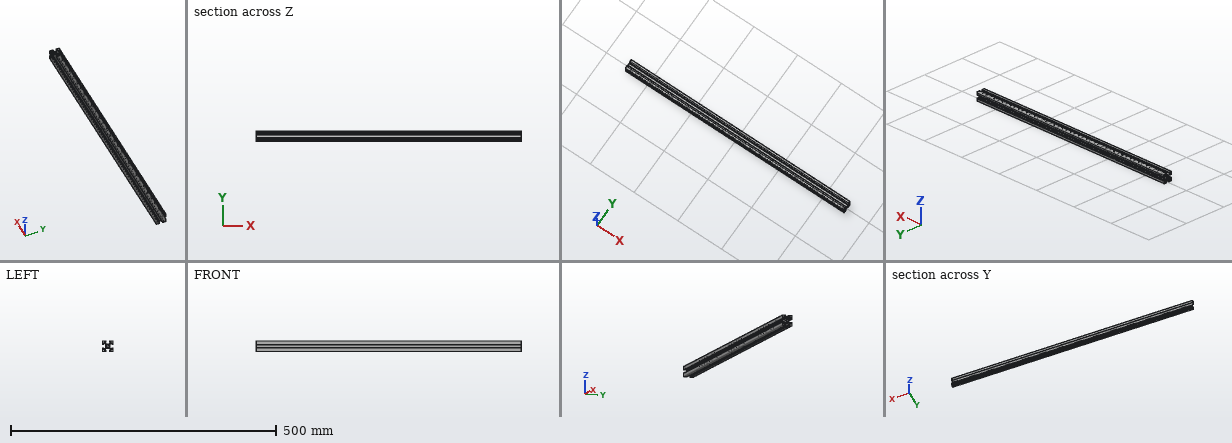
import cadquery as cq

length = 500.0
side = 20.0
corner_radius = 1.0
slot_opening = 6.0
lip_thickness = 2.0
cavity_width = 12.0
core_width = 8.0
web_thickness = 1.8
bore_diameter = 4.2

half_side = side / 2
half_opening = slot_opening / 2
half_cavity = cavity_width / 2
half_core = core_width / 2
lip_inner = half_side - lip_thickness
web_offset = web_thickness / 2 * 2**0.5
web_outer = half_cavity + web_offset
floor_half_width = half_core - web_offset


def make_bar():
    """Square bar along X, centred on the origin, with rounded long edges."""
    bar = cq.Workplane("YZ").rect(side, side).extrude(length / 2, both=True)
    return bar.edges("|X").fillet(corner_radius)


def make_slot():
    """Cutter for the T-slot on the +Z side, running the full length."""
    right_side = [
        (half_opening, half_side),
        (half_opening, lip_inner),
        (half_cavity, lip_inner),
        (half_cavity, web_outer),
        (floor_half_width, half_core),
    ]
    left_side = [(-y, z) for y, z in reversed(right_side)]
    outline = cq.Workplane("YZ").polyline(right_side + left_side).close()
    return outline.extrude(length / 2, both=True)


def make_bore():
    """Cutter for the round bore through the core."""
    return cq.Workplane("YZ").circle(bore_diameter / 2).extrude(length / 2, both=True)


result = make_bar()
for angle in (0, 90, 180, 270):
    result = result.cut(make_slot().rotate((0, 0, 0), (1, 0, 0), angle))
result = result.cut(make_bore())